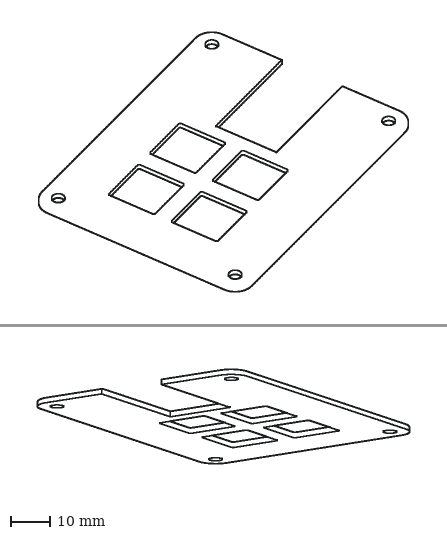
import cadquery as cq

plate_width = 64.0
plate_length = 81.3
plate_thickness = 1.5
corner_radius = 5.0
rim_fillet = 0.5

screw_hole_diameter = 3.4
screw_spacing_x = plate_width - 2 * corner_radius
screw_spacing_y = plate_length - 2 * corner_radius

notch_width = 18.45
notch_depth = 30.9
notch_center_x = 0.5

key_opening = 14.1
key_corner_radius = 0.5
key_pitch = 19.1
keys_per_side = 2
key_grid_center = (-0.5, -10.9)


def rounded_plate():
    """Rounded rectangular plate with its upper rim rounded."""
    return (
        cq.Workplane("XY")
        .rect(plate_width, plate_length)
        .extrude(plate_thickness)
        .edges("|Z")
        .fillet(corner_radius)
        .faces(">Z")
        .edges()
        .fillet(rim_fillet)
    )


def screw_holes():
    return (
        cq.Workplane("XY")
        .rect(screw_spacing_x, screw_spacing_y, forConstruction=True)
        .vertices()
        .circle(screw_hole_diameter / 2)
        .extrude(plate_thickness)
    )


def notch():
    return (
        cq.Workplane("XY")
        .center(notch_center_x, (plate_length - notch_depth) / 2)
        .rect(notch_width, notch_depth)
        .extrude(plate_thickness)
    )


def key_openings():
    return (
        cq.Workplane("XY")
        .center(*key_grid_center)
        .rarray(key_pitch, key_pitch, keys_per_side, keys_per_side)
        .rect(key_opening, key_opening)
        .extrude(plate_thickness)
        .edges("|Z")
        .fillet(key_corner_radius)
    )


result = rounded_plate().cut(screw_holes()).cut(notch()).cut(key_openings())